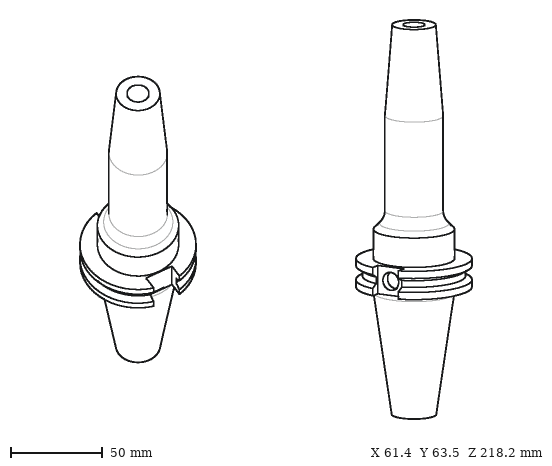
import cadquery as cq
import math


gauge_diameter = 44.45
shank_length = 68.25
shank_taper = 7 / 24

flange_diameter = 63.5
flange_bottom = 3.18
flange_top = 19.05

groove_diameter = 56.4
groove_center = (flange_bottom + flange_top) / 2
groove_mouth = 7.8
groove_flank_angle = 30

slot_width = 16.38
slot_floor_left = 25.0
slot_floor_right = 22.6

side_hole_diameter = 10.0
side_hole_depth = 5.0
side_hole_height = groove_center

body_top = 35.5
barrel_diameter = 32.0
shoulder_fillet = 10.0
shoulder_angle = 45
nose_top = 150.0
nose_tip_diameter = 24.0
nose_angle = 4.5

bore_diameter = 12.0
bore_depth = 50.0


def make_turned_body():
    """Revolve the half profile of the holder about Z."""
    gauge_radius = gauge_diameter / 2
    flange_radius = flange_diameter / 2
    groove_radius = groove_diameter / 2
    barrel_radius = barrel_diameter / 2
    tip_radius = nose_tip_diameter / 2
    shank_end_radius = gauge_radius - shank_length * shank_taper / 2

    flank_height = (flange_radius - groove_radius) * math.tan(math.radians(groove_flank_angle))
    mouth_bottom = groove_center - groove_mouth / 2
    mouth_top = groove_center + groove_mouth / 2

    turn = math.radians(shoulder_angle)
    fillet_bottom_radius = barrel_radius + shoulder_fillet * (1 - math.cos(turn))
    fillet_bottom = body_top + (gauge_radius - fillet_bottom_radius) / math.tan(turn)
    fillet_top = fillet_bottom + shoulder_fillet * math.sin(turn)
    fillet_middle_radius = barrel_radius + shoulder_fillet * (1 - math.cos(turn / 2))
    fillet_middle = fillet_top - shoulder_fillet * math.sin(turn / 2)

    nose_length = (barrel_radius - tip_radius) / math.tan(math.radians(nose_angle))

    profile = (
        cq.Workplane("XZ")
        .moveTo(0, -shank_length)
        .lineTo(shank_end_radius, -shank_length)
        .lineTo(gauge_radius, 0)
        .lineTo(gauge_radius, flange_bottom)
        .lineTo(flange_radius, flange_bottom)
        .lineTo(flange_radius, mouth_bottom)
        .lineTo(groove_radius, mouth_bottom + flank_height)
        .lineTo(groove_radius, mouth_top - flank_height)
        .lineTo(flange_radius, mouth_top)
        .lineTo(flange_radius, flange_top)
        .lineTo(gauge_radius, flange_top)
        .lineTo(gauge_radius, body_top)
        .lineTo(fillet_bottom_radius, fillet_bottom)
        .threePointArc((fillet_middle_radius, fillet_middle), (barrel_radius, fillet_top))
        .lineTo(barrel_radius, nose_top - nose_length)
        .lineTo(tip_radius, nose_top)
        .lineTo(0, nose_top)
        .close()
    )
    return profile.revolve(360, (0, 0, 0), (0, 1, 0))


def make_drive_slot(side, floor_distance):
    """Block that opens one drive slot; side is -1 for -X and +1 for +X."""
    length = flange_diameter / 2
    height = flange_top - flange_bottom
    return (
        cq.Workplane("XY", origin=(side * (floor_distance + length / 2), 0, flange_bottom))
        .rect(length, slot_width)
        .extrude(height)
    )


def make_side_hole():
    """Cylinder running in +X from the floor of the -X slot."""
    return (
        cq.Workplane("YZ", origin=(-slot_floor_left, 0, side_hole_height))
        .circle(side_hole_diameter / 2)
        .extrude(side_hole_depth)
    )


def make_tool_bore():
    """Flat-bottomed cylinder running down from the nose tip."""
    return (
        cq.Workplane("XY", origin=(0, 0, nose_top))
        .circle(bore_diameter / 2)
        .extrude(-bore_depth)
    )


result = (
    make_turned_body()
    .cut(make_drive_slot(-1, slot_floor_left))
    .cut(make_drive_slot(1, slot_floor_right))
    .cut(make_side_hole())
    .cut(make_tool_bore())
)